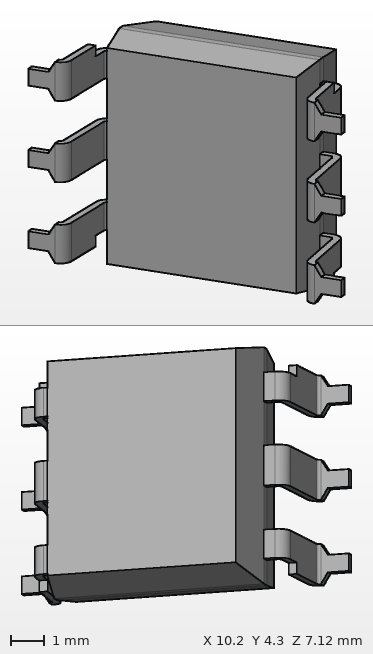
import cadquery as cq
import math

span = 10.15
total_height = 4.3

body_width = 6.51
body_length = 7.12
body_front_y = 1.18
band_top_y = 2.68
front_inset = 0.18
back_inset = 0.33

lead_thickness = 0.25
lead_width = 1.21
lead_pitch = 2.54
lead_count = 3
lead_embed = 0.2
inner_radius = 0.11
outer_radius = inner_radius + lead_thickness
leg_lean = math.radians(4)
shoulder_center_x = 3.59
shoulder_center_y = band_top_y - outer_radius

toe_width = 0.53
toe_taper_length = 0.22
edge_trim = (lead_width - toe_width) / 2

notch_y = 1.84

ankle_center_y = lead_thickness + inner_radius
bend_rise = shoulder_center_y - ankle_center_y
ankle_center_x = (
    shoulder_center_x
    + bend_rise * math.tan(leg_lean)
    + (inner_radius + outer_radius) / math.cos(leg_lean)
)

band_bottom_y = band_top_y - lead_thickness


def tapered_half(start_y, end_y, inset):
    """Body half shrinking by the inset on every side from start_y to end_y."""
    return (
        cq.Workplane("XZ", origin=(0, start_y, 0))
        .rect(body_width, body_length)
        .workplane(offset=start_y - end_y)
        .rect(body_width - 2 * inset, body_length - 2 * inset)
        .loft(ruled=True)
    )


def make_body():
    band = cq.Workplane("XY").box(body_width, lead_thickness, body_length)
    band = band.translate((0, (band_top_y + band_bottom_y) / 2, 0))
    front_half = tapered_half(band_bottom_y, body_front_y, front_inset)
    back_half = tapered_half(band_top_y, total_height, back_inset)
    return band.union(front_half).union(back_half)


def shoulder_point(radius, angle):
    """Point on the upper bend; angle is measured from +X."""
    return (
        shoulder_center_x + radius * math.cos(angle),
        shoulder_center_y + radius * math.sin(angle),
    )


def ankle_point(radius, angle):
    """Point on the lower bend; angle is measured from -X, turning toward -Y."""
    return (
        ankle_center_x - radius * math.cos(angle),
        ankle_center_y - radius * math.sin(angle),
    )


def make_strip():
    """Full-width bent strip of a +X lead, centred on Z = 0."""
    root_x = body_width / 2 - lead_embed
    toe_x = span / 2
    upright = math.pi / 2
    mid_bend = (upright + leg_lean) / 2
    return (
        cq.Workplane("XY", origin=(0, 0, -lead_width / 2))
        .moveTo(root_x, band_top_y)
        .lineTo(shoulder_center_x, band_top_y)
        .threePointArc(shoulder_point(outer_radius, mid_bend), shoulder_point(outer_radius, leg_lean))
        .lineTo(*ankle_point(inner_radius, leg_lean))
        .threePointArc(ankle_point(inner_radius, mid_bend), ankle_point(inner_radius, upright))
        .lineTo(toe_x, lead_thickness)
        .lineTo(toe_x, 0)
        .lineTo(ankle_center_x, 0)
        .threePointArc(ankle_point(outer_radius, mid_bend), ankle_point(outer_radius, leg_lean))
        .lineTo(*shoulder_point(inner_radius, leg_lean))
        .threePointArc(shoulder_point(inner_radius, mid_bend), shoulder_point(inner_radius, upright))
        .lineTo(root_x, band_bottom_y)
        .close()
        .extrude(lead_width)
    )


def make_lead():
    """Bent strip with both edges of its foot cut back to the toe width."""
    toe_relief = (
        cq.Workplane("XZ")
        .moveTo(ankle_center_x, lead_width / 2)
        .lineTo(ankle_center_x + toe_taper_length, toe_width / 2)
        .lineTo(span / 2, toe_width / 2)
        .lineTo(span / 2, lead_width / 2)
        .close()
        .extrude(-lead_thickness)
    )
    return make_strip().cut(toe_relief).cut(toe_relief.mirror("XY"))


def make_end_lead():
    """Lead narrowed on its +Z edge above the notch level."""
    notch = cq.Workplane("XY").box(
        span / 2, band_top_y - notch_y, edge_trim, centered=False
    )
    return make_lead().cut(notch.translate((0, notch_y, toe_width / 2)))


def make_lead_row():
    """All leads of the +X side."""
    end_offset = lead_pitch * (lead_count - 1) / 2
    top_lead = make_end_lead().translate((0, 0, end_offset))
    row = top_lead.union(top_lead.mirror("XY"))
    for index in range(1, lead_count - 1):
        row = row.union(make_lead().translate((0, 0, index * lead_pitch - end_offset)))
    return row


lead_row = make_lead_row()
result = make_body().union(lead_row).union(lead_row.mirror("YZ"))